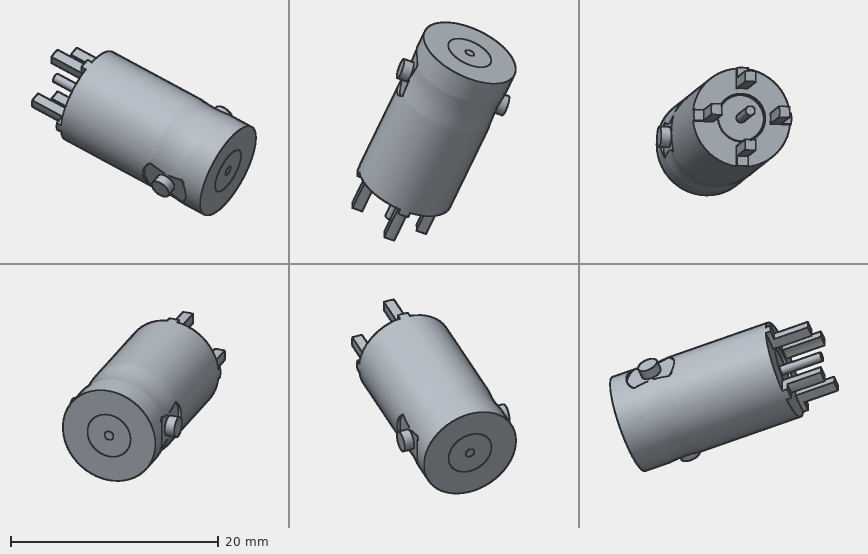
import cadquery as cq

overall_length = 20.25
barrel_diameter = 9.65
barrel_radius = barrel_diameter / 2
barrel_rear_x = 4.0
barrel_length = overall_length - barrel_rear_x

leg_count = 4
leg_width = 1.05
leg_outer_radius = 3.89
leg_inner_radius = 2.87
foot_thickness = 0.5

stud_diameter = 1.98
stud_span = 11.0
stud_x = 16.05
spotface_diameter = 5.02
spotface_floor_y = 4.51
stud_height = stud_span / 2 - spotface_floor_y

waist_width = 3.42
waist_depth = 0.12
waist_rim_fillet = 0.7
rim_margin = 0.2

recess_diameter = 4.7
recess_depth = 0.3
insulator_diameter = 4.5
contact_diameter = 0.91
contact_tip_x = 0.12

insulator_rear_x = barrel_rear_x + recess_depth
insulator_length = overall_length - insulator_rear_x


def x_cylinder(start_x, length, diameter):
    """Solid cylinder on the X axis."""
    return cq.Workplane("YZ", origin=(start_x, 0, 0)).circle(diameter / 2).extrude(length)


def make_leg(angle):
    """One L-shaped leg, cut as a flat-sided slice out of two rings, turned about X."""
    post_ring = x_cylinder(0, barrel_rear_x, 2 * leg_outer_radius)
    foot_ring = x_cylinder(barrel_rear_x - foot_thickness, foot_thickness, barrel_diameter)
    slice_box = cq.Workplane("XY").box(
        barrel_rear_x, leg_width, barrel_radius, centered=(False, True, False)
    )
    leg = (
        post_ring.union(foot_ring)
        .cut(x_cylinder(0, barrel_rear_x, 2 * leg_inner_radius))
        .intersect(slice_box)
    )
    return leg.rotate((0, 0, 0), (1, 0, 0), angle)


def cut_waist(barrel):
    """Turn the arched waist into the barrel and round its two rims."""
    start_x = stud_x - waist_width / 2
    end_x = stud_x + waist_width / 2
    cutter = (
        cq.Workplane("XY")
        .moveTo(start_x, barrel_radius)
        .threePointArc((stud_x, barrel_radius - waist_depth), (end_x, barrel_radius))
        .close()
        .revolve(360, (0, 0, 0), (1, 0, 0))
    )
    waist_rims = cq.selectors.BoxSelector(
        (start_x - rim_margin, -rim_margin, -rim_margin),
        (end_x + rim_margin, rim_margin, rim_margin),
    )
    return barrel.cut(cutter).edges(waist_rims).fillet(waist_rim_fillet)


def y_cylinder(side, diameter, height):
    """Solid cylinder at the stud position, rising outward from a spotface floor."""
    plane = cq.Plane(
        origin=(stud_x, side * spotface_floor_y, 0), xDir=(1, 0, 0), normal=(0, side, 0)
    )
    return cq.Workplane(plane).circle(diameter / 2).extrude(height)


def make_housing():
    """Barrel with its waist, spotfaces, insulator bore, recess and four legs."""
    housing = cut_waist(x_cylinder(barrel_rear_x, barrel_length, barrel_diameter))
    for side in (-1, 1):
        housing = housing.cut(y_cylinder(side, spotface_diameter, stud_height))
    housing = housing.cut(x_cylinder(barrel_rear_x, barrel_length, insulator_diameter))
    housing = housing.cut(x_cylinder(barrel_rear_x, recess_depth, recess_diameter))
    for index in range(leg_count):
        housing = housing.union(make_leg(index * 360 / leg_count), clean=False)
    return housing


def make_stud(side):
    """Bayonet stud standing on the spotface floor."""
    return y_cylinder(side, stud_diameter, stud_height)


def make_insulator():
    """Sleeve that fills the housing bore around the contact."""
    insulator = x_cylinder(insulator_rear_x, insulator_length, insulator_diameter)
    return insulator.cut(x_cylinder(insulator_rear_x, insulator_length, contact_diameter))


def make_contact():
    """Straight pin through the insulator."""
    return x_cylinder(contact_tip_x, overall_length - contact_tip_x, contact_diameter)


housing = make_housing()
insulator = make_insulator()
contact = make_contact()
studs = [make_stud(side) for side in (-1, 1)]

result = cq.Compound.makeCompound(
    [housing.val(), insulator.val(), contact.val(), *[stud.val() for stud in studs]]
)